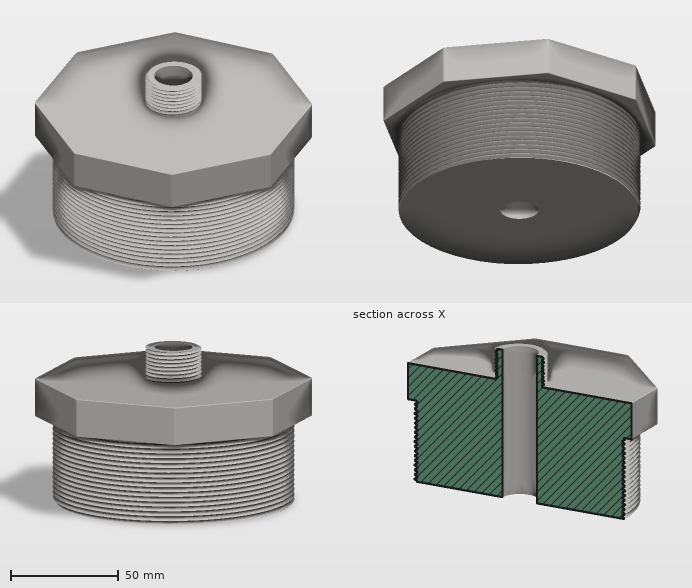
import cadquery as cq
import math

FLANGE_SIDES = 8
HALF_SIDE_ANGLE = math.pi / FLANGE_SIDES
ACROSS_FLATS = 120.0
FLANGE_HEIGHT = 18.0
CORNER_RADIUS = 1.8
EDGE_ROUND = 0.4

PLUG_LENGTH = 40.0
PLUG_ROOT_DIAMETER = 110.1
PLUG_CREST_DIAMETER = 113.1
PLUG_CREST_INSET = 0.7
PLUG_TURNS = 16
PLUG_TURNS_LENGTH = 37.0

NIPPLE_LENGTH = 15.0
NIPPLE_ROOT_DIAMETER = 24.1
NIPPLE_CREST_DIAMETER = 26.4
NIPPLE_CREST_INSET = 0.5
NIPPLE_TURNS = 7
NIPPLE_TURNS_LENGTH = 12.7

BORE_DIAMETER = 18.0

ROOT_FLAT_SHARE = 0.2
ROOT_OVERLAP = 0.06

FLANGE_BOTTOM = PLUG_LENGTH
FLANGE_TOP = FLANGE_BOTTOM + FLANGE_HEIGHT
NIPPLE_TOP = FLANGE_TOP + NIPPLE_LENGTH


def cylinder(diameter, bottom, top):
    return cq.Workplane("XY").workplane(offset=bottom).circle(diameter / 2).extrude(top - bottom)


def threaded_rod(root_diameter, crest_diameter, pitch, crest_height, bottom, top):
    """Rod with a right-hand V thread that has a crest on the +X side at crest_height."""
    root_radius = root_diameter / 2
    crest_radius = crest_diameter / 2
    half_width = pitch * (1 - ROOT_FLAT_SHARE) / 2
    half_base = half_width * (1 + ROOT_OVERLAP / (crest_radius - root_radius))
    base_radius = root_radius - ROOT_OVERLAP
    turns_below = math.ceil((crest_height - bottom) / pitch) + 1
    turns_above = math.ceil((top - crest_height) / pitch) + 1
    start = crest_height - turns_below * pitch
    finish = crest_height + turns_above * pitch
    helix = cq.Wire.makeHelix(pitch, finish - start, root_radius, center=cq.Vector(0, 0, start))
    ridge = (
        cq.Workplane("XZ")
        .polyline([
            (base_radius, start - half_base),
            (crest_radius, start),
            (base_radius, start + half_base),
        ])
        .close()
        .sweep(cq.Workplane(obj=helix), isFrenet=True)
    )
    core = cylinder(root_diameter, start - pitch, finish + pitch)
    envelope = cylinder(crest_diameter + pitch, bottom, top)
    return core.union(ridge).intersect(envelope)


def flange():
    corner_diameter = ACROSS_FLATS / math.cos(HALF_SIDE_ANGLE)
    return (
        cq.Workplane("XY")
        .workplane(offset=FLANGE_BOTTOM)
        .transformed(rotate=(0, 0, math.degrees(HALF_SIDE_ANGLE)))
        .polygon(FLANGE_SIDES, corner_diameter)
        .extrude(FLANGE_HEIGHT)
        .edges("|Z")
        .fillet(CORNER_RADIUS)
        .faces("|Z")
        .edges()
        .fillet(EDGE_ROUND)
    )


def plug():
    pitch = PLUG_TURNS_LENGTH / PLUG_TURNS
    return threaded_rod(
        PLUG_ROOT_DIAMETER, PLUG_CREST_DIAMETER, pitch, PLUG_CREST_INSET, 0, FLANGE_BOTTOM
    )


def nipple():
    pitch = NIPPLE_TURNS_LENGTH / NIPPLE_TURNS
    return threaded_rod(
        NIPPLE_ROOT_DIAMETER, NIPPLE_CREST_DIAMETER, pitch, NIPPLE_TOP - NIPPLE_CREST_INSET,
        FLANGE_TOP, NIPPLE_TOP
    )


bore = cylinder(BORE_DIAMETER, 0, NIPPLE_TOP)
result = flange().union(plug()).union(nipple()).cut(bore)